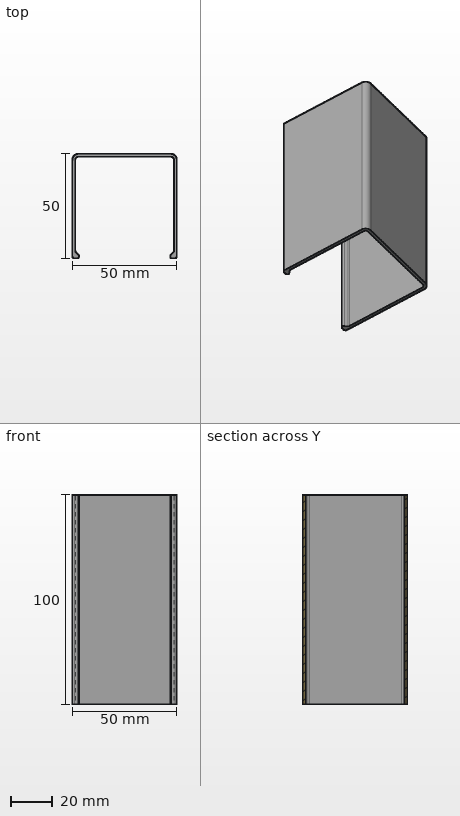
import cadquery as cq
import math

width = 50.0
depth = 50.0
length = 100.0
wall = 1.5
bend_outer_radius = 3.0
foot_radius = 1.0

lip_reach = 3.3
nose_radius = 1.0
bevel_top_reach = 3.1
bevel_foot_reach = 2.8
ramp_angle = 45.0
ramp_root_radius = 1.0

half_width = width / 2
back = depth / 2
front = -depth / 2
bend_inner_radius = bend_outer_radius - wall
inner_face = half_width - wall
inner_back = back - wall
bend_center = (half_width - bend_outer_radius, back - bend_outer_radius)
foot_center = (half_width - foot_radius, front + foot_radius)
nose_center = (half_width - lip_reach + nose_radius, front + nose_radius)


def arc_point(center, radius, angle):
    """Point on a circle at the given angle in degrees from +X."""
    a = math.radians(angle)
    return (center[0] + radius * math.cos(a), center[1] + radius * math.sin(a))


def half_channel():
    """Right half (+X) of the channel: half the back wall, one side wall and its lip."""
    nose_end_angle = 180 - ramp_angle
    bevel_offset = nose_center[0] - (half_width - bevel_top_reach)
    nose_start_angle = 180 + math.degrees(math.acos(bevel_offset / nose_radius))
    nose_start = arc_point(nose_center, nose_radius, nose_start_angle)
    nose_middle = arc_point(nose_center, nose_radius, (nose_start_angle + nose_end_angle) / 2)
    nose_end = arc_point(nose_center, nose_radius, nose_end_angle)

    ramp_slope = math.tan(math.radians(ramp_angle))
    ramp_corner_y = nose_end[1] + (inner_face - nose_end[0]) * ramp_slope
    root_turn = 90 - ramp_angle
    root_setback = ramp_root_radius * math.tan(math.radians(root_turn / 2))
    root_center = (inner_face - ramp_root_radius, ramp_corner_y + root_setback)

    profile = (
        cq.Workplane("XY")
        .moveTo(0, back)
        .lineTo(bend_center[0], back)
        .threePointArc(arc_point(bend_center, bend_outer_radius, 45), (half_width, bend_center[1]))
        .lineTo(half_width, foot_center[1])
        .threePointArc(arc_point(foot_center, foot_radius, -45), (foot_center[0], front))
        .lineTo(half_width - bevel_foot_reach, front)
        .lineTo(*nose_start)
        .threePointArc(nose_middle, nose_end)
        .lineTo(*arc_point(root_center, ramp_root_radius, -root_turn))
        .threePointArc(
            arc_point(root_center, ramp_root_radius, -root_turn / 2),
            (inner_face, root_center[1]),
        )
        .lineTo(inner_face, bend_center[1])
        .threePointArc(arc_point(bend_center, bend_inner_radius, 45), (bend_center[0], inner_back))
        .lineTo(0, inner_back)
        .close()
    )
    return profile.extrude(length)


right_half = half_channel()
result = right_half.union(right_half.mirror("YZ")).clean()